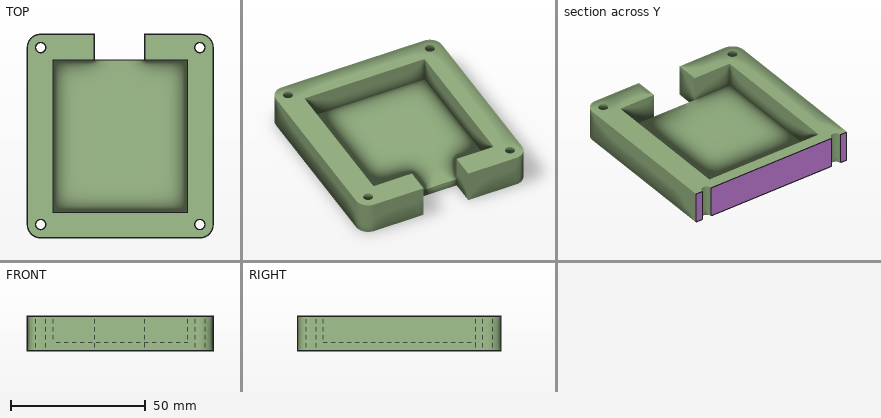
import cadquery as cq

width = 69.1
length = 75.7
height = 12.9
corner_radius = 5.0

wall = 9.55
floor_thickness = 3.0

notch_width = 18.6
notch_center_x = -0.3

hole_diameter = 3.7


def make_block():
    block = cq.Workplane("XY").box(width, length, height, centered=(True, True, False))
    return block.edges("|Z").fillet(corner_radius)


def make_pocket():
    return (
        cq.Workplane("XY", origin=(0, 0, floor_thickness))
        .rect(width - 2 * wall, length - 2 * wall)
        .extrude(height - floor_thickness)
    )


def make_notch():
    return (
        cq.Workplane("XY")
        .center(notch_center_x, (length - wall) / 2)
        .rect(notch_width, wall)
        .extrude(height)
    )


def make_corner_holes():
    return (
        cq.Workplane("XY")
        .rect(width - 2 * corner_radius, length - 2 * corner_radius, forConstruction=True)
        .vertices()
        .circle(hole_diameter / 2)
        .extrude(height)
    )


result = make_block().cut(make_pocket()).cut(make_notch()).cut(make_corner_holes())